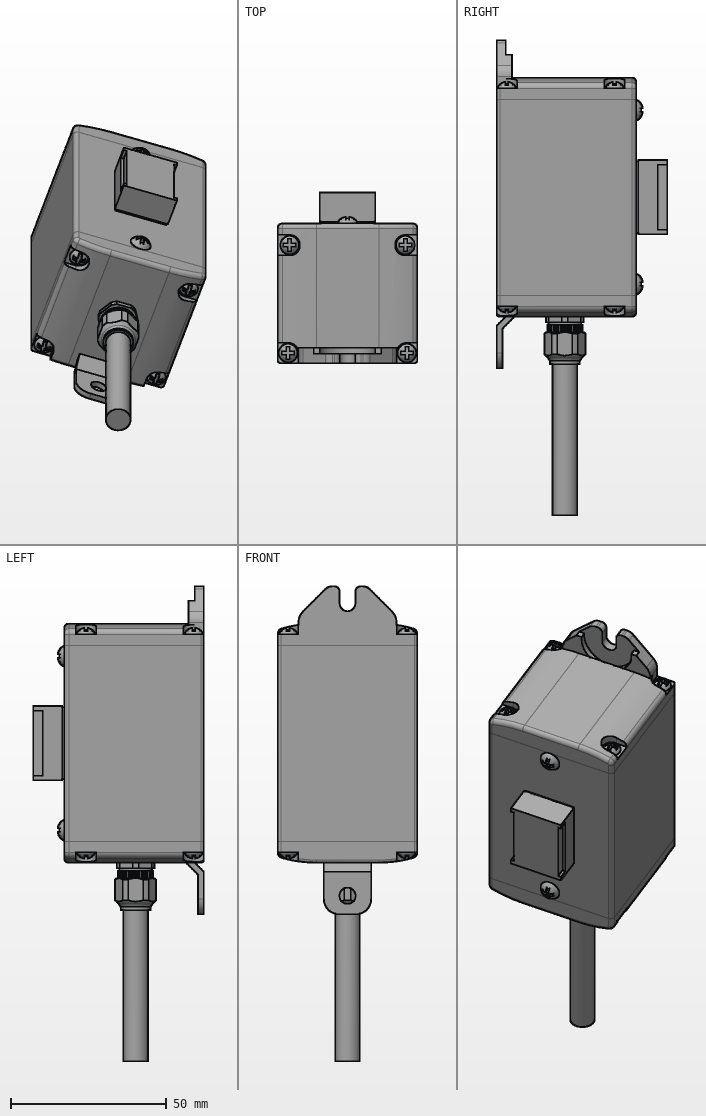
import cadquery as cq
import math


WIDTH = 45.0
DEPTH = 45.0
HEIGHT = 77.0
CAP_HEIGHT = 7.0
HALF_WIDTH = WIDTH / 2
MID_HEIGHT = HEIGHT / 2
CROWN_FLAT_HALF = 10.0
CROWN_RADIUS = 40.0
CROWN_EDGE_RADIUS = 2.0
FRONT_EDGE_RADIUS = 1.0
BACK_EDGE_RADIUS = 1.5

CAP_SCREW_DIAMETER = 6.0
CAP_SCREW_HEAD_HEIGHT = 2.1
BACK_FACE_SCREW_DIAMETER = 6.8
BACK_FACE_SCREW_HEAD_HEIGHT = 2.2
BACK_FACE_SCREW_OFFSET = 28.0
CROSS_LENGTH = 4.0
CROSS_WIDTH = 1.1
CROSS_DEPTH = 1.2

POCKET_RADIUS = 3.3
POCKET_FLOOR = 3.4
FRONT_SCREW_X = 19.1
FRONT_SCREW_Y = POCKET_RADIUS
BACK_SCREW_X = 18.6
BACK_SCREW_Y = 38.0

LUG_HALF_WIDTH = 15.8
LUG_TOP = HEIGHT + 12.0
LUG_SHOULDER = HEIGHT + 2.4
LUG_SHOULDER_RADIUS = 5.0
LUG_TIP_RADIUS = 3.0
LUG_THICKNESS = 5.0
LUG_TIP_THICKNESS = 3.0
LUG_STEP = HEIGHT + 7.4
SLOT_WIDTH = 5.0
SLOT_DEPTH = 8.0
SLOT_CENTER = LUG_TOP - SLOT_DEPTH + SLOT_WIDTH / 2
SLOT_LIP_RADIUS = 1.8
WASHER_SEAT_RADIUS = 9.0

BRACKET_WIDTH = 15.3
BRACKET_THICKNESS = 2.0
BRACKET_BOTTOM = -16.6
BRACKET_BEND = -2.9
BRACKET_CORNER_RADIUS = 5.0
BRACKET_HOLE_DIAMETER = 5.2
BRACKET_HOLE_Z = -10.6

GLAND_Y = 22.0
BASE_HEX = 12.2
BASE_HEX_CORNER = 13.0
BASE_BOTTOM = -1.8
NECK_DIAMETER = 10.6
RIDGE_TOP = -2.5
RIDGE_DIAMETER = 11.4
RIDGE_ROOT_DIAMETER = 10.8
RIDGE_COUNT = 36
NUT_HEX = 12.4
NUT_HEX_CORNER = 13.3
NUT_TOP = -5.0
NUT_BOTTOM = -13.2
NUT_TOP_CHAMFER = 0.4
NUT_BOTTOM_CHAMFER = 1.2
COLLAR_DIAMETER = 9.6
COLLAR_TAPER_BOTTOM = -14.2
COLLAR_BOTTOM = -15.2
CABLE_DIAMETER = 8.0
CABLE_BOTTOM = -63.9

CONNECTOR_WIDTH = 18.0
CONNECTOR_HEIGHT = 24.0
CONNECTOR_BACK = 55.0
CONNECTOR_FOOT_HEIGHT = 0.6
CONNECTOR_FOOT_INSET = 0.4
CONNECTOR_RECESS_LENGTH = 3.2
CONNECTOR_RECESS_MARGIN = 1.5
CONNECTOR_RECESS_DEPTH = 1.0

HEX_SIDES = 6
HEX_STEP = 360 / HEX_SIDES
OVERLAP = 1.0


def box(x_range, y_range, z_range):
    """Axis-aligned box between the given limits."""
    size = [high - low for low, high in (x_range, y_range, z_range)]
    corner = (x_range[0], y_range[0], z_range[0])
    return cq.Workplane("XY").box(*size, centered=False).translate(corner)


def rod(diameter, top, bottom):
    """Vertical cylinder on the gland axis."""
    plane = cq.Workplane("XY", origin=(0, GLAND_Y, bottom))
    return plane.circle(diameter / 2).extrude(top - bottom)


def mirrored_down(shape):
    """Copy of a shape mirrored about the middle height of the housing."""
    return shape.mirror("XY", (0, 0, MID_HEIGHT))


def housing_body():
    """Straight middle section of the housing."""
    body = box((-HALF_WIDTH, HALF_WIDTH), (0, DEPTH), (CAP_HEIGHT, HEIGHT - CAP_HEIGHT))
    body = body.edges("|Z and <Y").fillet(FRONT_EDGE_RADIUS)
    return body.edges("|Z and >Y").fillet(BACK_EDGE_RADIUS)


def crowned_cap():
    """Top cap: flat in the middle, arched towards both sides, rounded at the back."""
    seam = HEIGHT - CAP_HEIGHT
    run = HALF_WIDTH - CROWN_FLAT_HALF
    shoulder = HEIGHT - CROWN_RADIUS + math.sqrt(CROWN_RADIUS**2 - run**2)
    half_angle = math.asin(run / CROWN_RADIUS) / 2
    mid_x = CROWN_FLAT_HALF + CROWN_RADIUS * math.sin(half_angle)
    mid_z = HEIGHT - CROWN_RADIUS * (1 - math.cos(half_angle))
    cap = (
        cq.Workplane("XZ")
        .moveTo(-HALF_WIDTH, seam)
        .lineTo(HALF_WIDTH, seam)
        .lineTo(HALF_WIDTH, shoulder)
        .threePointArc((mid_x, mid_z), (CROWN_FLAT_HALF, HEIGHT))
        .lineTo(-CROWN_FLAT_HALF, HEIGHT)
        .threePointArc((-mid_x, mid_z), (-HALF_WIDTH, shoulder))
        .close()
        .extrude(-DEPTH)
    )
    for side in (-HALF_WIDTH, HALF_WIDTH):
        crown_edge = cq.selectors.NearestToPointSelector((side, DEPTH / 2, shoulder))
        cap = cap.edges(crown_edge).fillet(CROWN_EDGE_RADIUS)
    cap = cap.edges("|Z and <Y").fillet(FRONT_EDGE_RADIUS)
    return cap.faces(">Y").edges("not(<Z)").fillet(BACK_EDGE_RADIUS)


def pan_head(plane, diameter, height):
    """Domed screw head with a cross recess, standing on the given plane."""
    radius = diameter / 2
    sphere_radius = (radius**2 + height**2) / (2 * height)
    dome = (
        cq.Workplane("XY")
        .sphere(sphere_radius)
        .translate((0, 0, height - sphere_radius))
        .intersect(cq.Workplane("XY", origin=(0, 0, -OVERLAP)).circle(radius).extrude(2 * sphere_radius))
    )
    cross_floor = cq.Workplane("XY", origin=(0, 0, height - CROSS_DEPTH))
    dome = dome.cut(cross_floor.rect(CROSS_LENGTH, CROSS_WIDTH).extrude(CROSS_DEPTH))
    dome = dome.cut(cross_floor.rect(CROSS_WIDTH, CROSS_LENGTH).extrude(CROSS_DEPTH))
    return cq.Workplane(obj=dome.val().moved(cq.Location(plane)))


def cap_screws():
    """Positions of the four screws of a cap."""
    for side in (-1, 1):
        yield side, side * FRONT_SCREW_X, FRONT_SCREW_Y
        yield side, side * BACK_SCREW_X, BACK_SCREW_Y


def screw_pockets():
    """Pockets open to the sides; the front ones are open to the front as well."""
    floor = HEIGHT - POCKET_FLOOR
    z_range = (floor, HEIGHT)
    pockets = cq.Workplane("XY")
    for side, x, y in cap_screws():
        x_range = sorted((x, side * HALF_WIDTH))
        round_end = cq.Workplane("XY", origin=(x, y, floor)).circle(POCKET_RADIUS).extrude(POCKET_FLOOR)
        pockets = pockets.add(round_end)
        pockets = pockets.add(box(x_range, (y - POCKET_RADIUS, y + POCKET_RADIUS), z_range))
        if y == FRONT_SCREW_Y:
            pockets = pockets.add(box((x - POCKET_RADIUS, x + POCKET_RADIUS), (0, y), z_range))
    return pockets.combine()


def cap():
    """Top cap with its four seated screws."""
    shape = crowned_cap().cut(screw_pockets())
    for _, x, y in cap_screws():
        plane = cq.Plane((x, y, HEIGHT - POCKET_FLOOR))
        head = pan_head(plane, CAP_SCREW_DIAMETER, CAP_SCREW_HEAD_HEIGHT)
        shape = shape.union(head)
    return shape


def slotted_lug():
    """Tapered lug with an open slot, thinner at the tip."""
    tip_x = LUG_HALF_WIDTH - (LUG_TOP - LUG_SHOULDER)
    base = HEIGHT - POCKET_FLOOR
    blank = (
        cq.Workplane("XZ")
        .polyline(
            [
                (-LUG_HALF_WIDTH, base),
                (LUG_HALF_WIDTH, base),
                (LUG_HALF_WIDTH, LUG_SHOULDER),
                (tip_x, LUG_TOP),
                (-tip_x, LUG_TOP),
                (-LUG_HALF_WIDTH, LUG_SHOULDER),
            ]
        )
        .close()
        .extrude(-LUG_THICKNESS)
    )
    for side in (-1, 1):
        shoulder_edge = cq.selectors.NearestToPointSelector(
            (side * LUG_HALF_WIDTH, LUG_THICKNESS / 2, LUG_SHOULDER)
        )
        blank = blank.edges(shoulder_edge).fillet(LUG_SHOULDER_RADIUS)
        tip_edge = cq.selectors.NearestToPointSelector((side * tip_x, LUG_THICKNESS / 2, LUG_TOP))
        blank = blank.edges(tip_edge).fillet(LUG_TIP_RADIUS)

    slot_half = SLOT_WIDTH / 2
    slot = cq.Workplane("XZ", origin=(0, 0, SLOT_CENTER)).circle(slot_half).extrude(-LUG_THICKNESS)
    slot = slot.union(box((-slot_half, slot_half), (0, LUG_THICKNESS), (SLOT_CENTER, LUG_TOP)))
    lug = blank.cut(slot)
    for side in (-1, 1):
        lip_edge = cq.selectors.NearestToPointSelector((side * slot_half, LUG_THICKNESS / 2, LUG_TOP))
        lug = lug.edges(lip_edge).fillet(SLOT_LIP_RADIUS)

    behind_tip = (LUG_TIP_THICKNESS, LUG_THICKNESS)
    across = (-LUG_HALF_WIDTH, LUG_HALF_WIDTH)
    return lug.cut(box(across, behind_tip, (LUG_STEP, LUG_TOP)))


def washer_seat():
    """Round relief behind the tip of the lug, reaching down into the cap."""
    plane = cq.Workplane("XZ", origin=(0, LUG_TIP_THICKNESS, SLOT_CENTER))
    return plane.circle(WASHER_SEAT_RADIUS).extrude(LUG_TIP_THICKNESS - LUG_THICKNESS)


def bent_bracket():
    """Bracket that leaves the bottom cap at 45 degrees and bends down flush with the front."""
    inner_bend = BRACKET_BEND - BRACKET_THICKNESS * math.tan(math.pi / 8)
    bracket = (
        cq.Workplane("YZ", origin=(-BRACKET_WIDTH / 2, 0, 0))
        .polyline(
            [
                (OVERLAP - BRACKET_BEND, OVERLAP),
                (0, BRACKET_BEND),
                (0, BRACKET_BOTTOM),
                (BRACKET_THICKNESS, BRACKET_BOTTOM),
                (BRACKET_THICKNESS, inner_bend),
                (BRACKET_THICKNESS - inner_bend + OVERLAP, OVERLAP),
            ]
        )
        .close()
        .extrude(BRACKET_WIDTH)
    )
    bracket = bracket.faces("<Z").edges("|Y").fillet(BRACKET_CORNER_RADIUS)
    hole = cq.Workplane("XZ", origin=(0, 0, BRACKET_HOLE_Z)).circle(BRACKET_HOLE_DIAMETER / 2)
    return bracket.cut(hole.extrude(-BRACKET_THICKNESS))


def trimmed_hexagon(across_flats, across_corners, top, bottom, turn):
    """Hexagonal prism with flattened corners, turned about the gland axis."""
    plane = cq.Workplane("XY", origin=(0, GLAND_Y, bottom))
    height = top - bottom
    hexagon = plane.polygon(HEX_SIDES, across_flats, circumscribed=True).extrude(height)
    trim = plane.polygon(HEX_SIDES, across_corners, circumscribed=True).extrude(height)
    axis = (0, GLAND_Y, 0), (0, GLAND_Y, 1)
    return hexagon.intersect(trim.rotate(*axis, HEX_STEP / 2)).rotate(*axis, turn)


def ridged_ring():
    """Ring with vertical ridges around it."""
    points = []
    for index in range(2 * RIDGE_COUNT):
        radius = (RIDGE_DIAMETER if index % 2 == 0 else RIDGE_ROOT_DIAMETER) / 2
        angle = math.pi * index / RIDGE_COUNT
        points.append((radius * math.cos(angle), radius * math.sin(angle)))
    plane = cq.Workplane("XY", origin=(0, GLAND_Y, NUT_TOP))
    return plane.polyline(points).close().extrude(RIDGE_TOP - NUT_TOP)


def cable_gland():
    """Gland with its hexagonal base, ridged ring, clamping nut and collar, and the cable."""
    nut_envelope = rod(NUT_HEX_CORNER, NUT_TOP, NUT_BOTTOM)
    nut_envelope = nut_envelope.faces(">Z").chamfer(NUT_TOP_CHAMFER)
    nut_envelope = nut_envelope.faces("<Z").chamfer(NUT_BOTTOM_CHAMFER)
    nut = trimmed_hexagon(NUT_HEX, NUT_HEX_CORNER, NUT_TOP, NUT_BOTTOM, 0).intersect(nut_envelope)
    nut_bottom_diameter = NUT_HEX_CORNER - 2 * NUT_BOTTOM_CHAMFER
    collar = (
        cq.Workplane("XY", origin=(0, GLAND_Y, NUT_BOTTOM))
        .circle(nut_bottom_diameter / 2)
        .workplane(offset=COLLAR_TAPER_BOTTOM - NUT_BOTTOM)
        .circle(COLLAR_DIAMETER / 2)
        .loft()
    )
    return (
        trimmed_hexagon(BASE_HEX, BASE_HEX_CORNER, OVERLAP, BASE_BOTTOM, HEX_STEP / 2)
        .union(rod(NECK_DIAMETER, BASE_BOTTOM, RIDGE_TOP))
        .union(ridged_ring())
        .union(nut)
        .union(collar)
        .union(rod(COLLAR_DIAMETER, COLLAR_TAPER_BOTTOM, COLLAR_BOTTOM))
        .union(rod(CABLE_DIAMETER, COLLAR_BOTTOM, CABLE_BOTTOM))
    )


def connector():
    """Connector block on a slightly smaller foot, with a shallow recess at the rear of each side."""
    half_width = CONNECTOR_WIDTH / 2
    half_height = CONNECTOR_HEIGHT / 2
    half_recess = half_height - CONNECTOR_RECESS_MARGIN
    block = box(
        (-half_width, half_width),
        (DEPTH + CONNECTOR_FOOT_HEIGHT, CONNECTOR_BACK),
        (MID_HEIGHT - half_height, MID_HEIGHT + half_height),
    )
    foot_half_width = half_width - CONNECTOR_FOOT_INSET
    foot_half_height = half_height - CONNECTOR_FOOT_INSET
    foot = box(
        (-foot_half_width, foot_half_width),
        (DEPTH - OVERLAP, DEPTH + CONNECTOR_FOOT_HEIGHT),
        (MID_HEIGHT - foot_half_height, MID_HEIGHT + foot_half_height),
    )
    block = block.union(foot)
    for side in (-1, 1):
        recess = box(
            sorted((side * half_width, side * (half_width - CONNECTOR_RECESS_DEPTH))),
            (CONNECTOR_BACK - CONNECTOR_RECESS_LENGTH, CONNECTOR_BACK),
            (MID_HEIGHT - half_recess, MID_HEIGHT + half_recess),
        )
        block = block.cut(recess)
    return block


def back_screws():
    """Two pan-head screws on the back face, above and below the connector."""
    screws = cq.Workplane("XY")
    for offset in (-BACK_FACE_SCREW_OFFSET, BACK_FACE_SCREW_OFFSET):
        plane = cq.Plane((0, DEPTH, MID_HEIGHT + offset), xDir=(1, 0, 0), normal=(0, 1, 0))
        screws = screws.add(pan_head(plane, BACK_FACE_SCREW_DIAMETER, BACK_FACE_SCREW_HEAD_HEIGHT))
    return screws


top_cap = cap()
result = housing_body()
for piece in (
    mirrored_down(top_cap),
    top_cap.union(slotted_lug()).cut(washer_seat()),
    bent_bracket(),
    cable_gland(),
    connector(),
    back_screws(),
):
    result = result.union(piece, clean=False)